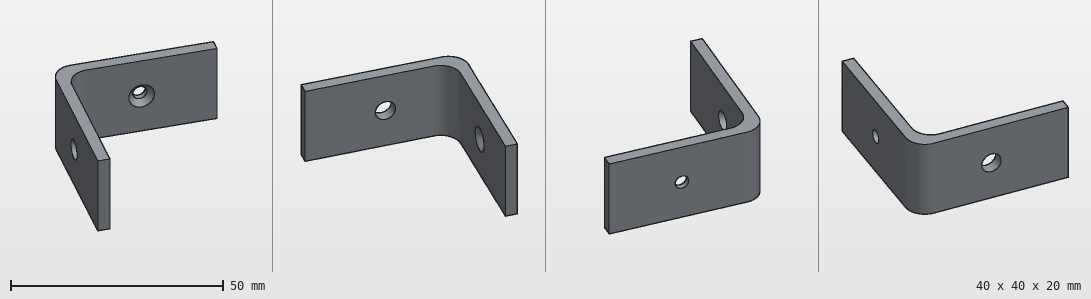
import cadquery as cq

leg_length = 40.0
width = 20.0
thickness = 3.0
bend_radius = 5.0
front_hole_diameter = 5.0
side_hole_diameter = 3.4
countersink_depth = 1.45

hole_height = width / 2
front_hole_x = leg_length / 2
side_hole_y = (leg_length + thickness) / 2


def angle_bracket():
    """L-shaped strip with its outer corner at the origin and a rounded bend."""
    body = (
        cq.Workplane("XY")
        .polyline([
            (0, 0),
            (leg_length, 0),
            (leg_length, thickness),
            (thickness, thickness),
            (thickness, leg_length),
            (0, leg_length),
        ])
        .close()
        .extrude(width)
    )
    outer_corner = cq.selectors.NearestToPointSelector((0, 0, width / 2))
    inner_corner = cq.selectors.NearestToPointSelector((thickness, thickness, width / 2))
    body = body.edges(outer_corner).fillet(bend_radius)
    return body.edges(inner_corner).fillet(bend_radius)


def hole_cutter(start, direction, diameter):
    """Cylinder running from a leg's outer face through its thickness."""
    return cq.Solid.makeCylinder(
        diameter / 2, thickness, cq.Vector(*start), cq.Vector(*direction)
    )


front_hole = hole_cutter((front_hole_x, 0, hole_height), (0, 1, 0), front_hole_diameter)
side_hole = hole_cutter((0, side_hole_y, hole_height), (1, 0, 0), side_hole_diameter)

side_hole_radius = side_hole_diameter / 2
countersink = cq.Solid.makeCone(
    side_hole_radius,
    side_hole_radius + countersink_depth,
    countersink_depth,
    cq.Vector(thickness - countersink_depth, side_hole_y, hole_height),
    cq.Vector(1, 0, 0),
)

result = angle_bracket().cut(front_hole).cut(side_hole).cut(countersink)